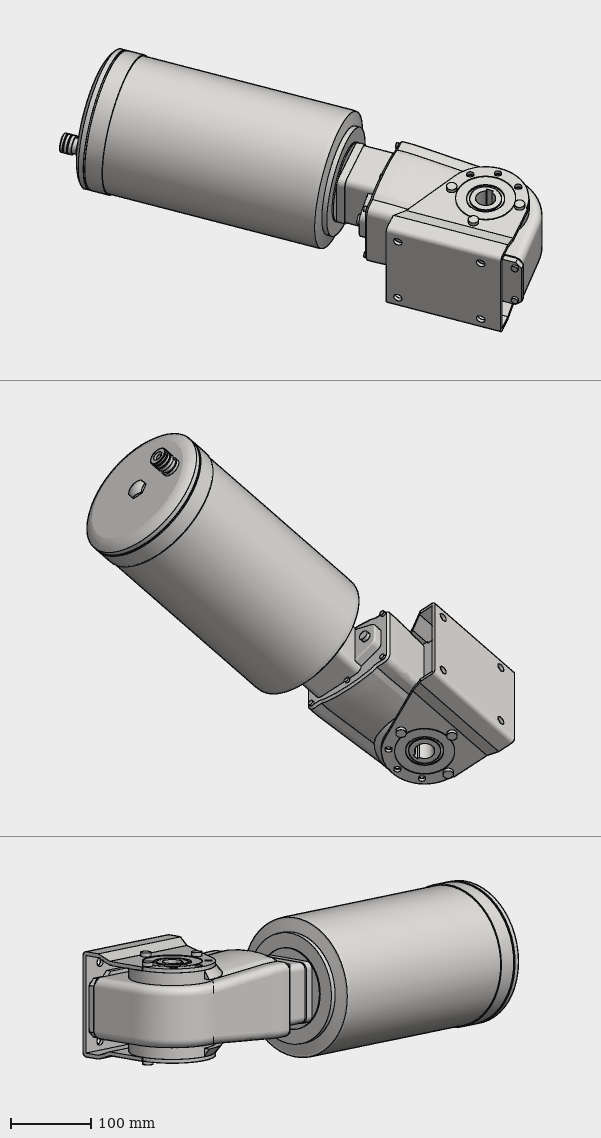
import cadquery as cq
import math


motor_dia = 178.0
cap_dia = 181.0
cap_face_dia = 150.0
cap_face_x = -523.0
cap_rim_x = -515.5
cap_edge_bulge = 1.5
cap_end_x = -484.0
groove_x = -508.0
groove_width = 2.0
groove_depth = 0.6
motor_lip_x = -208.0
motor_lip_drop = 0.5
motor_end_x = -202.7
motor_shield_dia = 172.0
motor_shield_end_dia = 144.0
motor_shield_end_x = -199.7
motor_flange_dia = 141.0
motor_flange_end_x = -193.0
motor_spigot_dia = 103.0
motor_spigot_end_x = -191.3

plug_flats = 24.0
plug_height = 7.0
plug_edge_height = 1.5
connector_y = -55.3
connector_tip_x = -549.0
connector_neck_x = -533.5
connector_base_x = -527.0
connector_dia = 25.0
connector_neck_dia = 20.5
connector_bore_dia = 13.0
connector_bore_depth = 12.0
connector_pin_dia = 7.0
connector_pin_recess = 2.0
connector_chamfer = 1.0
connector_groove_width = 1.5
connector_groove_depth = 0.75
connector_groove_offsets = (4.0, 9.5)

neck_width = 74.0
neck_height = 77.0
neck_flange_width = 78.0
neck_flange_height = 77.5
neck_flange_end_x = -181.0
neck_round = 9.0

housing_x = -139.0
rim_end_x = -123.0
shoulder_end_x = -110.0
shoulder_drop = 0.5
housing_top_y = 52.5
housing_bottom_y = -82.0
far_top_y = 48.8
far_bottom_y = -79.0
rim_half_height = 54.0
far_half_height = 45.0
crown = 7.0
corner_radius = 10.0
shelf_inset = 21.5
pad_inset = 29.0
pad_rise = 3.0
rim_chamfer = 3.0
shaft_y = -21.6
end_radius = 70.4
end_half_height = 39.0
end_round = 11.0
end_foot_x = 73.0

cover_top_y = -87.0
cover_bottom_y = -94.5
cover_left_x = -70.0
cover_right_x = 74.0
cover_half_height = 37.5
cover_wide_half_height = 44.0
cover_wide_right_x = 50.0
cover_chamfer = 8.0
cover_bolts = ((65.5, 28.5), (0.0, 39.0))
cover_bolt_dia = 9.0
cover_bolt_head = 3.0

side_cover_x = -151.0
side_cover_end_y = -70.0
side_cover_end_half_width = 17.0
side_cover_half_width = 31.0
side_cover_corner = 10.0
neck_overlap = 2.0
side_cover_edge_round = 2.0
side_bolt_x = -156.5
side_bolt_y = -55.5
side_bolt_dia = 13.0
rim_screw_dia = 7.0
rim_screw_head = 3.0
rim_screw_inset = 8.5
rim_screw_z = 41.0

boss_base_dia = 126.0
boss_dia = 109.0
boss_base_z = 44.0
spigot_dia = 75.0
spigot_recess = 1.0
seal_outer_dia = 47.5
seal_inner_dia = 40.0
seal_depth = 2.0
bore_dia = 25.0
key_width = 8.0
key_top = 15.3
bolt_circle_dia = 90.0
tapped_hole_dia = 6.65
plate_hole_dia = 8.9
tapped_hole_depth = 15.0
tapped_hole_angles = (45, 90, 135)
flange_bolt_dia = 13.0
flange_bolt_head = 5.0
flange_bolt_angles = (0, 180, 270)

sheet = 5.0
bracket_outer_z = 67.0
flange_outer_z = 60.0
bracket_face_y = -121.8
bracket_left_x = -96.0
bracket_corner_y = -97.5
bracket_head_radius = 54.0
bracket_right_x = 56.0
bend_radius = 6.0
jog_start_y = -76.0
jog_end_y = -95.5
mount_hole_dia = 11.0
mount_hole_pitch_x = 110.0
mount_hole_pitch_z = 100.0
mount_hole_first_x = -80.4

spigot_z = flange_outer_z - spigot_recess
boss_top_z = flange_outer_z - sheet


def x_cylinder(x_start, x_end, dia, y=0.0, z=0.0):
    plane = cq.Workplane("YZ", origin=(x_start, y, z))
    return plane.circle(dia / 2).extrude(x_end - x_start)


def z_cylinder(z_start, z_end, dia, x=0.0, y=shaft_y):
    plane = cq.Workplane("XY", origin=(x, y, z_start))
    return plane.circle(dia / 2).extrude(z_end - z_start)


def y_cylinder(y_start, y_end, dia, x, z):
    plane = cq.Workplane("XZ", origin=(x, y_start, z))
    return plane.circle(dia / 2).extrude(y_start - y_end)


def both_sides(upper):
    """Join a shape with its mirror image below the XY plane."""
    return upper.union(upper.mirror("XY"))


def make_motor():
    cap_r = cap_dia / 2
    cap_face_r = cap_face_dia / 2
    body_r = motor_dia / 2
    flange_r = motor_flange_dia / 2
    spigot_r = motor_spigot_dia / 2
    edge_x = cap_rim_x - cap_face_x
    edge_r = cap_r - cap_face_r
    edge_length = math.hypot(edge_x, edge_r)
    cap_mid = (
        (cap_face_x + cap_rim_x) / 2 - cap_edge_bulge * edge_r / edge_length,
        (cap_face_r + cap_r) / 2 + cap_edge_bulge * edge_x / edge_length,
    )
    profile = (
        cq.Workplane("XY")
        .moveTo(cap_face_x, 0)
        .lineTo(cap_face_x, cap_face_r)
        .threePointArc(cap_mid, (cap_rim_x, cap_r))
        .lineTo(groove_x - groove_width / 2, cap_r)
        .lineTo(groove_x - groove_width / 2, cap_r - groove_depth)
        .lineTo(groove_x + groove_width / 2, cap_r - groove_depth)
        .lineTo(groove_x + groove_width / 2, cap_r)
        .lineTo(cap_end_x, cap_r)
        .lineTo(cap_end_x, body_r)
        .lineTo(motor_lip_x, body_r)
        .lineTo(motor_end_x, body_r - motor_lip_drop)
        .lineTo(motor_end_x, motor_shield_dia / 2)
        .lineTo(motor_shield_end_x, motor_shield_end_dia / 2)
        .lineTo(motor_shield_end_x, flange_r)
        .lineTo(motor_flange_end_x, flange_r)
        .lineTo(motor_flange_end_x, spigot_r)
        .lineTo(motor_spigot_end_x, spigot_r)
        .lineTo(motor_spigot_end_x, 0)
        .close()
    )
    return profile.revolve(360, (0, 0, 0), (1, 0, 0))


def make_plug():
    """Hexagonal plug in the middle of the end cap, with a domed head."""
    corner_r = plug_flats / math.sqrt(3)
    dome_height = plug_height - plug_edge_height
    dome_r = (corner_r**2 + dome_height**2) / (2 * dome_height)
    hexagon = cq.Workplane("YZ", origin=(cap_face_x, 0, 0)).polygon(6, 2 * corner_r).extrude(-plug_height)
    dome = cq.Workplane("XY", origin=(cap_face_x - plug_height + dome_r, 0, 0)).sphere(dome_r)
    return hexagon.intersect(dome)


def make_connector():
    head = x_cylinder(connector_tip_x, connector_neck_x, connector_dia, connector_y)
    head = head.faces("<X").chamfer(connector_chamfer)
    bore_end_x = connector_tip_x + connector_bore_depth
    head = head.cut(x_cylinder(connector_tip_x, bore_end_x, connector_bore_dia, connector_y))
    for offset in connector_groove_offsets:
        start_x = connector_tip_x + offset
        end_x = start_x + connector_groove_width
        ring = x_cylinder(start_x, end_x, connector_dia, connector_y)
        core_dia = connector_dia - 2 * connector_groove_depth
        ring = ring.cut(x_cylinder(start_x, end_x, core_dia, connector_y))
        head = head.cut(ring)
    pin = x_cylinder(connector_tip_x + connector_pin_recess, bore_end_x, connector_pin_dia, connector_y)
    neck = x_cylinder(connector_neck_x, connector_base_x, connector_neck_dia, connector_y)
    base = x_cylinder(connector_base_x, cap_face_x, connector_dia, connector_y)
    return head.union(pin).union(neck).union(base)


def rounded_bar(x_start, x_end, width, height):
    bar = cq.Workplane("YZ", origin=(x_start, 0, 0)).rect(width, height).extrude(x_end - x_start)
    return bar.edges("|X").fillet(neck_round)


def make_neck():
    flange = rounded_bar(motor_spigot_end_x, neck_flange_end_x, neck_flange_width, neck_flange_height)
    return flange.union(rounded_bar(neck_flange_end_x, housing_x, neck_width, neck_height))


def housing_section(x, top_y, bottom_y, half_height):
    """Rounded rectangle in a plane of constant X, with a crowned pad above and below."""
    mid_y = (top_y + bottom_y) / 2
    edge_z = half_height - crown
    side_z = edge_z - corner_radius
    pad_z = edge_z + pad_rise
    bulge = corner_radius * (1 - math.sqrt(0.5))
    top_corner = (top_y - bulge, edge_z - bulge)
    bottom_corner = (bottom_y + bulge, edge_z - bulge)
    return (
        cq.Workplane("YZ", origin=(x, 0, 0))
        .moveTo(top_y, -side_z)
        .lineTo(top_y, side_z)
        .threePointArc(top_corner, (top_y - corner_radius, edge_z))
        .lineTo(top_y - shelf_inset, edge_z)
        .lineTo(top_y - pad_inset, pad_z)
        .threePointArc((mid_y, half_height), (bottom_y + pad_inset, pad_z))
        .lineTo(bottom_y + shelf_inset, edge_z)
        .lineTo(bottom_y + corner_radius, edge_z)
        .threePointArc(bottom_corner, (bottom_y, side_z))
        .lineTo(bottom_y, -side_z)
        .threePointArc((bottom_corner[0], -bottom_corner[1]), (bottom_y + corner_radius, -edge_z))
        .lineTo(bottom_y + shelf_inset, -edge_z)
        .lineTo(bottom_y + pad_inset, -pad_z)
        .threePointArc((mid_y, -half_height), (top_y - pad_inset, -pad_z))
        .lineTo(top_y - shelf_inset, -edge_z)
        .lineTo(top_y - corner_radius, -edge_z)
        .threePointArc((top_corner[0], -top_corner[1]), (top_y, -side_z))
        .close()
    )


def make_housing():
    rim = housing_section(housing_x, housing_top_y, housing_bottom_y, rim_half_height)
    rim = rim.extrude(rim_end_x - housing_x)
    rim = rim.faces("<X").edges().chamfer(rim_chamfer)
    shoulder_part = (shoulder_end_x - rim_end_x) / -rim_end_x
    shoulder_bottom_y = housing_bottom_y + shoulder_part * (far_bottom_y - housing_bottom_y)
    sections = (
        (rim_end_x, housing_top_y, housing_bottom_y, rim_half_height),
        (shoulder_end_x, housing_top_y - shoulder_drop, shoulder_bottom_y, rim_half_height - shoulder_drop),
        (0, far_top_y, far_bottom_y, far_half_height),
    )
    wires = [housing_section(*section).wires().val() for section in sections]
    return rim.union(cq.Workplane(cq.Solid.makeLoft(wires, True)))


def make_output_end():
    """Rounded far end of the housing, wrapped around the output shaft."""
    arc_mid = (end_radius * math.sqrt(0.5), shaft_y + end_radius * math.sqrt(0.5))
    end = (
        cq.Workplane("XY", origin=(0, 0, -end_half_height))
        .moveTo(cover_left_x, cover_top_y)
        .lineTo(cover_left_x, shaft_y)
        .lineTo(0, shaft_y + end_radius)
        .threePointArc(arc_mid, (end_radius, shaft_y))
        .lineTo(end_foot_x, cover_top_y)
        .close()
        .extrude(2 * end_half_height)
    )
    far_half = cq.selectors.BoxSelector(
        (-1, cover_top_y + 1, -rim_half_height), (cover_right_x, housing_top_y, rim_half_height)
    )
    return end.faces("|Z").edges(far_half).fillet(end_round)


def cover_plate(x_end, half_height):
    length = x_end - cover_left_x
    mid_x = cover_left_x + length / 2
    plate = cq.Workplane("XZ", origin=(mid_x, cover_top_y, 0)).rect(length, 2 * half_height)
    return plate.extrude(cover_top_y - cover_bottom_y).edges("|Y").chamfer(cover_chamfer)


def make_foot_cover():
    cover = cover_plate(cover_right_x, cover_half_height)
    cover = cover.union(cover_plate(cover_wide_right_x, cover_wide_half_height))
    head_y = cover_bottom_y - cover_bolt_head
    for x, bolt_z in cover_bolts:
        for z in (-bolt_z, bolt_z):
            cover = cover.union(y_cylinder(cover_bottom_y, head_y, cover_bolt_dia, x, z))
    return cover


def make_side_cover():
    """Small tapered cover and its screw on the motor side of the housing."""
    neck_y = -neck_width / 2 + neck_overlap
    cover = (
        cq.Workplane("YZ", origin=(side_cover_x, 0, 0))
        .moveTo(neck_y, -side_cover_half_width)
        .lineTo(side_cover_end_y, -side_cover_end_half_width)
        .lineTo(side_cover_end_y, side_cover_end_half_width)
        .lineTo(neck_y, side_cover_half_width)
        .close()
        .extrude(housing_x - side_cover_x)
    )
    cover = cover.edges("|X and <Y").fillet(side_cover_corner)
    cover = cover.faces("<X").edges("not >Y").fillet(side_cover_edge_round)
    return cover.union(x_cylinder(side_bolt_x, side_cover_x, side_bolt_dia, side_bolt_y))


def make_rim_screws():
    mid_y = (housing_top_y + housing_bottom_y) / 2
    screws = cq.Workplane("XY")
    for y in (housing_top_y - rim_screw_inset, mid_y, housing_bottom_y + rim_screw_inset):
        for z in (-rim_screw_z, rim_screw_z):
            screws = screws.union(x_cylinder(housing_x - rim_screw_head, housing_x, rim_screw_dia, y, z))
    return screws


def make_output_boss():
    """Boss, bracket spigot and shaft seal ring on the upper side; a cone blends the boss into the housing."""
    boss = z_cylinder(0, boss_top_z, boss_dia)
    cone = cq.Solid.makeCone(
        boss_base_dia / 2, boss_dia / 2, boss_top_z - boss_base_z, pnt=cq.Vector(0, shaft_y, boss_base_z)
    )
    motor_side = cq.Workplane("XY", origin=(-boss_base_dia / 2, shaft_y, boss_base_z)).box(
        boss_base_dia, boss_base_dia, 2 * boss_base_z
    )
    spigot = z_cylinder(boss_top_z, spigot_z, spigot_dia)
    seal = z_cylinder(spigot_z - seal_depth, spigot_z, seal_outer_dia)
    seal = seal.cut(z_cylinder(spigot_z - seal_depth, spigot_z, seal_inner_dia))
    return boss.union(motor_side.intersect(cq.Workplane(cone))).union(spigot).cut(seal)


def bracket_outline():
    """Flange seen along Z: a round head about the shaft running into a trapezoid."""
    radius = bracket_head_radius
    corner = (bracket_left_x, bracket_corner_y)
    distance = math.hypot(corner[0], corner[1] - shaft_y)
    corner_angle = math.atan2(corner[1] - shaft_y, corner[0])
    tangent_angle = corner_angle - math.acos(radius / distance)
    tangent = (radius * math.cos(tangent_angle), shaft_y + radius * math.sin(tangent_angle))
    return (
        cq.Workplane("XY", origin=(0, 0, -bracket_outer_z))
        .moveTo(bracket_left_x, bracket_face_y)
        .lineTo(*corner)
        .lineTo(*tangent)
        .threePointArc((0, shaft_y + radius), (radius, shaft_y))
        .lineTo(bracket_right_x, shaft_y)
        .lineTo(bracket_right_x, bracket_face_y)
        .close()
        .extrude(2 * bracket_outer_z)
    )


def make_bracket():
    """U-shaped sheet bracket with jogged flanges above and below the gearbox."""
    head_y = shaft_y + bracket_head_radius
    inner_y = bracket_face_y + sheet
    inner_z = bracket_outer_z - sheet
    channel = (
        cq.Workplane("YZ", origin=(bracket_left_x, 0, 0))
        .moveTo(bracket_face_y, 0)
        .lineTo(bracket_face_y, bracket_outer_z)
        .lineTo(jog_end_y, bracket_outer_z)
        .lineTo(jog_start_y, flange_outer_z)
        .lineTo(head_y, flange_outer_z)
        .lineTo(head_y, boss_top_z)
        .lineTo(jog_start_y, boss_top_z)
        .lineTo(jog_end_y, inner_z)
        .lineTo(inner_y, inner_z)
        .lineTo(inner_y, 0)
        .close()
        .extrude(bracket_right_x - bracket_left_x)
    )
    channel = channel.edges("|X and <Y and >Z").fillet(bend_radius)
    bracket = both_sides(channel).intersect(bracket_outline())
    bracket = bracket.cut(z_cylinder(-bracket_outer_z, bracket_outer_z, spigot_dia))
    for column in range(2):
        x = mount_hole_first_x + column * mount_hole_pitch_x
        for z in (-mount_hole_pitch_z / 2, mount_hole_pitch_z / 2):
            bracket = bracket.cut(y_cylinder(inner_y, bracket_face_y, mount_hole_dia, x, z))
    return bracket


def on_bolt_circle(angle):
    radius = bolt_circle_dia / 2
    direction = math.radians(angle)
    return radius * math.cos(direction), shaft_y + radius * math.sin(direction)


def make_flange_bolts():
    bolts = cq.Workplane("XY")
    head_z = flange_outer_z + flange_bolt_head
    for angle in flange_bolt_angles:
        x, y = on_bolt_circle(angle)
        bolts = bolts.union(z_cylinder(flange_outer_z, head_z, flange_bolt_dia, x, y))
    return bolts


def make_tapped_holes():
    holes = cq.Workplane("XY")
    for angle in tapped_hole_angles:
        x, y = on_bolt_circle(angle)
        holes = holes.union(z_cylinder(boss_top_z, flange_outer_z, plate_hole_dia, x, y))
        holes = holes.union(z_cylinder(boss_top_z - tapped_hole_depth, boss_top_z, tapped_hole_dia, x, y))
    return holes


def make_shaft_bore():
    bore = z_cylinder(-flange_outer_z, flange_outer_z, bore_dia)
    keyway = (
        cq.Workplane("XY", origin=(0, shaft_y + key_top / 2, 0))
        .box(key_width, key_top, 2 * flange_outer_z)
    )
    return bore.union(keyway)


gearbox = make_housing().union(make_output_end()).union(make_foot_cover())
gearbox = gearbox.union(make_side_cover()).union(make_rim_screws())
gearbox = gearbox.union(both_sides(make_output_boss()))
gearbox = gearbox.union(make_bracket()).union(both_sides(make_flange_bolts()))
gearbox = gearbox.cut(both_sides(make_tapped_holes())).cut(make_shaft_bore())

motor = make_motor().union(make_plug()).union(make_connector()).union(make_neck())
result = motor.union(gearbox)